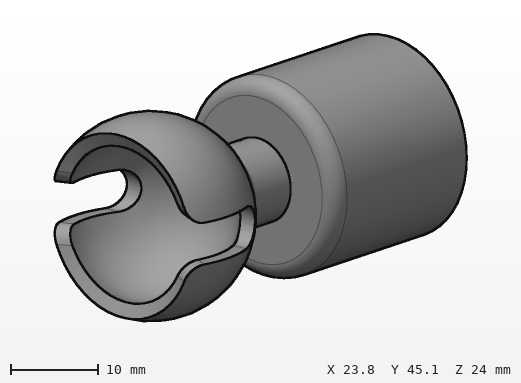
import cadquery as cq
import math

ball_radius = 12.0
wall_thickness = 1.8
cavity_radius = ball_radius - wall_thickness
rim_angle = math.radians(25)
rim_offset = ball_radius * math.sin(rim_angle)

slot_width = 5.0
slot_end_offset = 6.7
slot_mouth_radius = 2.3

neck_radius = 10.0 / 2
neck_blend_radius = 2.0
handle_radius = 23.8 / 2
handle_length = 22.0
handle_fillet = 2.0
handle_start = 18.0


def on_rim(radius):
    """Point of the conical rim at a given distance from the ball centre."""
    return (radius * math.cos(rim_angle), -radius * math.sin(rim_angle))


def make_body():
    """Revolve the outline of hollow ball, blended neck and handle about Y."""
    handle_end = handle_start + handle_length

    rim_outer = on_rim(ball_radius)
    rim_inner = on_rim(cavity_radius)
    cavity_middle = (
        cavity_radius * math.cos(rim_angle),
        cavity_radius * math.sin(rim_angle),
    )

    blend_center_x = neck_radius + neck_blend_radius
    blend_center_distance = ball_radius + neck_blend_radius
    blend_center_y = math.sqrt(blend_center_distance**2 - blend_center_x**2)
    ball_share = ball_radius / blend_center_distance
    blend_on_ball = (blend_center_x * ball_share, blend_center_y * ball_share)
    blend_on_neck = (neck_radius, blend_center_y)

    outline = (
        cq.Workplane("XY")
        .moveTo(0, cavity_radius)
        .threePointArc(cavity_middle, rim_inner)
        .lineTo(*rim_outer)
        .threePointArc((ball_radius, 0), blend_on_ball)
        .radiusArc(blend_on_neck, neck_blend_radius)
        .lineTo(neck_radius, handle_start)
        .lineTo(handle_radius - handle_fillet, handle_start)
        .radiusArc((handle_radius, handle_start + handle_fillet), -handle_fillet)
        .lineTo(handle_radius, handle_end)
        .lineTo(0, handle_end)
        .close()
    )
    return outline.revolve(360, (0, 0, 0), (0, 1, 0))


def make_slot():
    """Round-bottomed slot cut through the cup along X, open at the rim."""
    half_width = slot_width / 2
    bottom_start = slot_end_offset - half_width

    outline = (
        cq.Workplane("YZ")
        .moveTo(-ball_radius, -half_width)
        .lineTo(bottom_start, -half_width)
        .threePointArc((slot_end_offset, 0), (bottom_start, half_width))
        .lineTo(-ball_radius, half_width)
        .close()
    )
    return outline.extrude(ball_radius, both=True)


def slot_mouth_edges():
    """Select the four edges where the slot sides cross the conical rim."""
    rim_tip = (ball_radius, -rim_offset, slot_width)
    rim_root = (-ball_radius, on_rim(cavity_radius)[1], -slot_width)
    return cq.selectors.BoxSelector(rim_tip, rim_root)


slotted_cup = make_body().cut(make_slot())
result = slotted_cup.edges(slot_mouth_edges()).fillet(slot_mouth_radius)